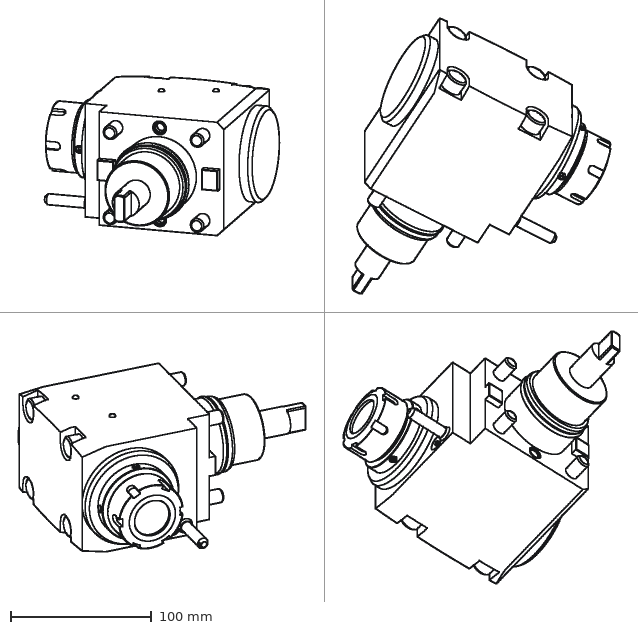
import cadquery as cq
import math


BLOCK_LEFT = -61.0
BLOCK_RIGHT = 48.0
BLOCK_BACK = 106.5
BLOCK_HEIGHT = 84.0
STEP_X = -45.0
STEP_Y = 17.0
EDGE_CHAMFER = 5.0
HALF_HEIGHT = BLOCK_HEIGHT / 2
BLOCK_MID_X = (BLOCK_LEFT + BLOCK_RIGHT) / 2

CLEARANCE_RADIUS = 130.0
CLEARANCE_ANGLE = 15.0
CLEARANCE_SETBACK = 6.6
CLEARANCE_REACH = 60.0

BOLT_X = 32.5
BOLT_Z = 31.5
BOLT_RADIUS = 5.0
BOLT_LENGTH = 15.0
BOLT_CHAMFER = 1.2
HEAD_RADIUS = 8.0
HEAD_LENGTH = 10.3
HEAD_CHAMFER = 1.2
POCKET_WIDTH = 18.0
POCKET_DEPTH = 11.6
KEY_OUTER_X = 45.0
KEY_WIDTH = 12.0
KEY_HEIGHT = 15.0
KEY_LENGTH = 5.0
KEY_CHAMFER = 0.5
SET_SCREW_Z = 34.0
SET_SCREW_RADIUS = 5.0
SET_SCREW_BEVEL = 0.8
SET_SCREW_BORE_RADIUS = 3.3
SET_SCREW_DEPTH = 5.0

COLLAR_RADIUS = 27.5
COLLAR_END = 28.0
COLLAR_CHAMFER_LENGTH = 2.1
COLLAR_CHAMFER_DEPTH = 1.0
RING_Y = 20.2
RING_SECTION_RADIUS = 1.5
RING_OUTER_RADIUS = 28.4
GROOVE_END = 22.6
SHANK_RADIUS = 24.0
SHANK_END = 53.0
SHANK_CHAMFER = 0.8
SHAFT_RADIUS = 10.0
SHAFT_END = 79.0
TANG_THICKNESS = 8.0
TANG_END = 94.0
TANG_CHAMFER = 0.7
TANG_EDGE_CHAMFER = 1.5

SPINDLE_Y = 70.0
FLANGE_RADIUS = BLOCK_BACK - SPINDLE_Y
FLANGE_FACE = -69.5
FLANGE_CHAMFER_LENGTH = 3.3
FLANGE_CHAMFER_DEPTH = 1.8
COLLET_RING_RADIUS = 28.0
COLLET_RING_FACE = -77.3
COLLET_RING_CHAMFER = 0.4
NECK_RADIUS = 22.3
RADIAL_HOLE_RADIUS = 2.7
RADIAL_HOLE_DEPTH = 1.5
RADIAL_SOCKET_RADIUS = 1.3
RADIAL_SOCKET_DEPTH = 1.5
RADIAL_HOLE_COUNT = 4

NUT_RADIUS = 25.0
NUT_BACK = -78.9
NUT_FACE = -101.6
NUT_BACK_CHAMFER = 1.0
NUT_FACE_RADIUS = 18.0
NUT_CONE_LENGTH = 2.3
NUT_CONE_RADIUS = 24.5
NUT_BORE_RADIUS = 13.8
NUT_BORE_DEPTH = 2.0
NUT_SLOT_COUNT = 6
NUT_SLOT_WIDTH = 6.0
NUT_SLOT_LENGTH = 13.0
NUT_SLOT_FLOOR = 22.3

COVER_RADIUS = 34.5
COVER_FACE = 57.0
COVER_CHAMFER = 2.5

PIN_Y = 26.0
PIN_Z = -34.0
PIN_RADIUS = 4.0
PIN_TIP = -93.5
PIN_CHAMFER_LENGTH = 2.2
PIN_CHAMFER_DEPTH = 1.9
PIN_OUTLET_RADIUS = 1.1
PIN_OUTLET_DEPTH = 3.0
PIN_OUTLET_ANGLE = 45.0
PIN_FOOT_RADIUS = 5.5
PIN_FOOT_LENGTH = 2.0
PIN_FOOT_TAPER = 1.0
PLUG_Y = 36.0
PLUG_RADIUS = 5.7
PLUG_RECESS = 0.2
PLUG_SOCKET_RADIUS = 1.9
PLUG_SOCKET_DEPTH = 3.0

DOME_POSITIONS = [(-19.0, 64.0), (18.0, 76.0)]
DOME_RADIUS = 2.5
DOME_HEIGHT = 1.6


def along_x(x, y=SPINDLE_Y, z=0.0):
    """Workplane whose normal is +X, with local axes Y and Z."""
    return cq.Workplane("YZ", origin=(x, y, z))


def along_minus_y(y, x=0.0, z=0.0):
    """Workplane whose normal is -Y, with local axes X and Z."""
    return cq.Workplane("XZ", origin=(x, y, z))


def turned_on_x(profile, y=SPINDLE_Y, z=0.0):
    """Solid of revolution about an X-parallel axis from (x, radius) points."""
    outline = cq.Workplane("XY", origin=(0, y, z)).polyline(profile).close()
    return outline.revolve(360, (0, 0, 0), (1, 0, 0))


def make_block():
    outline = [
        (STEP_X, 0),
        (BLOCK_RIGHT, 0),
        (BLOCK_RIGHT, BLOCK_BACK),
        (BLOCK_LEFT, BLOCK_BACK),
        (BLOCK_LEFT, STEP_Y),
        (STEP_X, STEP_Y),
    ]
    block = cq.Workplane("XY", origin=(0, 0, -HALF_HEIGHT)).polyline(outline).close().extrude(BLOCK_HEIGHT)
    return block.edges("|Y and >X").chamfer(EDGE_CHAMFER)


def make_back_clearance():
    """Cutter above the cone that slopes the top back edge downward."""
    outer = CLEARANCE_RADIUS + CLEARANCE_REACH
    drop = CLEARANCE_REACH * math.tan(math.radians(CLEARANCE_ANGLE))
    center_y = BLOCK_BACK - CLEARANCE_SETBACK - CLEARANCE_RADIUS
    profile = [(CLEARANCE_RADIUS, HALF_HEIGHT), (outer, HALF_HEIGHT), (outer, HALF_HEIGHT - drop)]
    outline = cq.Workplane("XZ", origin=(BLOCK_MID_X, center_y, 0)).polyline(profile).close()
    return outline.revolve(360, (0, 0, 0), (0, 1, 0))


def make_bolt_pocket(x, side):
    """Round-bottomed pocket for a bolt head, open to the back and to the top or bottom."""
    start_y = BLOCK_BACK - POCKET_DEPTH
    seat = along_minus_y(BLOCK_BACK, x, side * BOLT_Z).circle(POCKET_WIDTH / 2).extrude(POCKET_DEPTH)
    slot = cq.Workplane("XY").box(POCKET_WIDTH, POCKET_DEPTH, HALF_HEIGHT, centered=(True, False, True))
    return seat.union(slot.translate((x, start_y, side * (BOLT_Z + HALF_HEIGHT / 2))))


def make_bolt(x, side):
    """Bolt shank standing out of the mounting face plus its head in the pocket."""
    z = side * BOLT_Z
    shank = along_minus_y(0, x, z).circle(BOLT_RADIUS).extrude(BOLT_LENGTH)
    shank = shank.faces("<Y").chamfer(BOLT_CHAMFER)
    head_end = BLOCK_BACK - POCKET_DEPTH + HEAD_LENGTH
    head = along_minus_y(head_end, x, z).circle(HEAD_RADIUS).extrude(HEAD_LENGTH)
    head = head.faces(">Y").chamfer(HEAD_CHAMFER)
    return shank, head


def make_key(side):
    key = cq.Workplane("XY").box(KEY_WIDTH, KEY_LENGTH, KEY_HEIGHT)
    key = key.faces("<Y").chamfer(KEY_CHAMFER)
    return key.translate((side * (KEY_OUTER_X - KEY_WIDTH / 2), -KEY_LENGTH / 2, 0))


def cut_set_screw_hole(body, side):
    """Blind hole in the mounting face with a bevelled mouth."""
    profile = [
        (0, 0),
        (SET_SCREW_RADIUS, 0),
        (SET_SCREW_RADIUS - SET_SCREW_BEVEL, SET_SCREW_BEVEL),
        (SET_SCREW_BORE_RADIUS, SET_SCREW_BEVEL),
        (SET_SCREW_BORE_RADIUS, SET_SCREW_DEPTH),
        (0, SET_SCREW_DEPTH),
    ]
    outline = cq.Workplane("XY", origin=(0, 0, side * SET_SCREW_Z)).polyline(profile).close()
    return body.cut(outline.revolve(360, (0, 0, 0), (0, 1, 0)))


def make_shank():
    """Stepped shank with its sealing ring and the driving tang."""
    ring_center = RING_OUTER_RADIUS - RING_SECTION_RADIUS
    ring_start = math.sqrt(RING_SECTION_RADIUS**2 - (COLLAR_RADIUS - ring_center) ** 2)
    outline = (
        cq.Workplane("XY")
        .lineTo(COLLAR_RADIUS, 0)
        .lineTo(COLLAR_RADIUS, -RING_Y + ring_start)
        .threePointArc((RING_OUTER_RADIUS, -RING_Y), (ring_center, -RING_Y - RING_SECTION_RADIUS))
        .lineTo(ring_center, -GROOVE_END)
        .lineTo(COLLAR_RADIUS, -GROOVE_END)
        .lineTo(COLLAR_RADIUS, -COLLAR_END + COLLAR_CHAMFER_LENGTH)
        .lineTo(COLLAR_RADIUS - COLLAR_CHAMFER_DEPTH, -COLLAR_END)
        .lineTo(SHANK_RADIUS, -COLLAR_END)
        .lineTo(SHANK_RADIUS, -SHANK_END + SHANK_CHAMFER)
        .lineTo(SHANK_RADIUS - SHANK_CHAMFER, -SHANK_END)
        .lineTo(0, -SHANK_END)
        .close()
    )
    shank = outline.revolve(360, (0, 0, 0), (0, 1, 0))

    shaft = along_minus_y(-SHANK_END).circle(SHAFT_RADIUS).extrude(SHAFT_END - SHANK_END)
    tang = along_minus_y(-SHAFT_END).circle(SHAFT_RADIUS).extrude(TANG_END - SHAFT_END)
    blade = cq.Workplane("XY").box(TANG_THICKNESS, 2 * TANG_END, 2 * SHAFT_RADIUS)
    blade = blade.edges("|Y").chamfer(TANG_EDGE_CHAMFER)
    tang = tang.intersect(blade).faces("<Y").chamfer(TANG_CHAMFER)
    return shank.union(shaft).union(tang)


def make_spindle_nose():
    """Flange, collet ring and neck in front of the block, turned about the spindle axis."""
    nose = turned_on_x([
        (BLOCK_LEFT, 0),
        (BLOCK_LEFT, FLANGE_RADIUS),
        (FLANGE_FACE + FLANGE_CHAMFER_LENGTH, FLANGE_RADIUS),
        (FLANGE_FACE, FLANGE_RADIUS - FLANGE_CHAMFER_DEPTH),
        (FLANGE_FACE, COLLET_RING_RADIUS),
        (COLLET_RING_FACE + COLLET_RING_CHAMFER, COLLET_RING_RADIUS),
        (COLLET_RING_FACE, COLLET_RING_RADIUS - COLLET_RING_CHAMFER),
        (COLLET_RING_FACE, NECK_RADIUS),
        (NUT_BACK, NECK_RADIUS),
        (NUT_BACK, 0),
    ])
    hole_x = (FLANGE_FACE + COLLET_RING_FACE) / 2
    floor = COLLET_RING_RADIUS - RADIAL_HOLE_DEPTH
    hole = cq.Workplane("XY", origin=(hole_x, SPINDLE_Y, floor)).circle(RADIAL_HOLE_RADIUS)
    hole = hole.extrude(2 * RADIAL_HOLE_DEPTH)
    hole = hole.faces("<Z").workplane().circle(RADIAL_SOCKET_RADIUS).extrude(RADIAL_SOCKET_DEPTH)
    for index in range(RADIAL_HOLE_COUNT):
        angle = 360 * index / RADIAL_HOLE_COUNT
        nose = nose.cut(hole.rotate((0, SPINDLE_Y, 0), (1, SPINDLE_Y, 0), angle))
    return nose


def make_cover():
    cover = along_x(BLOCK_RIGHT).circle(COVER_RADIUS).extrude(COVER_FACE - BLOCK_RIGHT)
    return cover.faces(">X").chamfer(COVER_CHAMFER)


def make_coolant_pin():
    """Pin with a bevelled tip and a slanted outlet drilled into the +Y side of the bevel."""
    foot = BLOCK_LEFT - PIN_FOOT_LENGTH
    pin = turned_on_x([
        (BLOCK_LEFT, 0),
        (BLOCK_LEFT, PIN_FOOT_RADIUS),
        (foot, PIN_FOOT_RADIUS - PIN_FOOT_TAPER),
        (foot, PIN_RADIUS),
        (PIN_TIP + PIN_CHAMFER_LENGTH, PIN_RADIUS),
        (PIN_TIP, PIN_RADIUS - PIN_CHAMFER_DEPTH),
        (PIN_TIP, 0),
    ], PIN_Y, PIN_Z)
    bevel_middle = cq.Vector(
        PIN_TIP + PIN_CHAMFER_LENGTH / 2,
        PIN_Y + PIN_RADIUS - PIN_CHAMFER_DEPTH / 2,
        PIN_Z,
    )
    angle = math.radians(PIN_OUTLET_ANGLE)
    inward = cq.Vector(math.cos(angle), -math.sin(angle), 0)
    start = bevel_middle - inward * PIN_OUTLET_DEPTH
    outlet = cq.Solid.makeCylinder(PIN_OUTLET_RADIUS, 2 * PIN_OUTLET_DEPTH, start, inward)
    return pin.cut(cq.Workplane(outlet))


def cut_plug(body):
    recess = along_x(BLOCK_LEFT, PLUG_Y, PIN_Z).circle(PLUG_RADIUS).extrude(PLUG_RECESS)
    socket = along_x(BLOCK_LEFT, PLUG_Y, PIN_Z).polygon(6, 2 * PLUG_SOCKET_RADIUS).extrude(PLUG_SOCKET_DEPTH)
    return body.cut(recess).cut(socket)


def make_housing():
    housing = make_block()
    clearance = make_back_clearance()
    housing = housing.cut(clearance).cut(clearance.mirror("XY"))
    for x in (-BOLT_X, BOLT_X):
        for side in (-1, 1):
            shank, head = make_bolt(x, side)
            housing = housing.cut(make_bolt_pocket(x, side)).union(shank).union(head)
    for side in (-1, 1):
        housing = housing.union(make_key(side))
        housing = cut_set_screw_hole(housing, side)
    housing = cut_plug(housing)
    housing = housing.union(make_shank()).union(make_spindle_nose())
    housing = housing.union(make_cover()).union(make_coolant_pin())
    for x, y in DOME_POSITIONS:
        center_z = HALF_HEIGHT + DOME_HEIGHT - DOME_RADIUS
        housing = housing.union(cq.Workplane("XY").sphere(DOME_RADIUS).translate((x, y, center_z)))
    return housing


def make_nut():
    nut = turned_on_x([
        (NUT_BACK, 0),
        (NUT_BACK, NUT_RADIUS - NUT_BACK_CHAMFER),
        (NUT_BACK - NUT_BACK_CHAMFER, NUT_RADIUS),
        (NUT_FACE + NUT_CONE_LENGTH, NUT_RADIUS),
        (NUT_FACE + NUT_CONE_LENGTH, NUT_CONE_RADIUS),
        (NUT_FACE, NUT_FACE_RADIUS),
        (NUT_FACE, NUT_BORE_RADIUS),
        (NUT_FACE + NUT_BORE_DEPTH, NUT_BORE_RADIUS),
        (NUT_FACE + NUT_BORE_DEPTH, 0),
    ])
    arc_center = NUT_FACE + NUT_SLOT_LENGTH - NUT_SLOT_WIDTH / 2
    half = NUT_SLOT_WIDTH / 2
    slot = (
        cq.Workplane("XZ", origin=(0, SPINDLE_Y - NUT_SLOT_FLOOR, 0))
        .moveTo(NUT_FACE, -half)
        .lineTo(arc_center, -half)
        .threePointArc((arc_center + half, 0), (arc_center, half))
        .lineTo(NUT_FACE, half)
        .close()
        .extrude(NUT_RADIUS)
    )
    for index in range(NUT_SLOT_COUNT):
        angle = 360 * index / NUT_SLOT_COUNT
        nut = nut.cut(slot.rotate((0, SPINDLE_Y, 0), (1, SPINDLE_Y, 0), angle))
    return nut


housing = make_housing()
nut = make_nut()

result = cq.Compound.makeCompound([*housing.solids().vals(), *nut.solids().vals()])